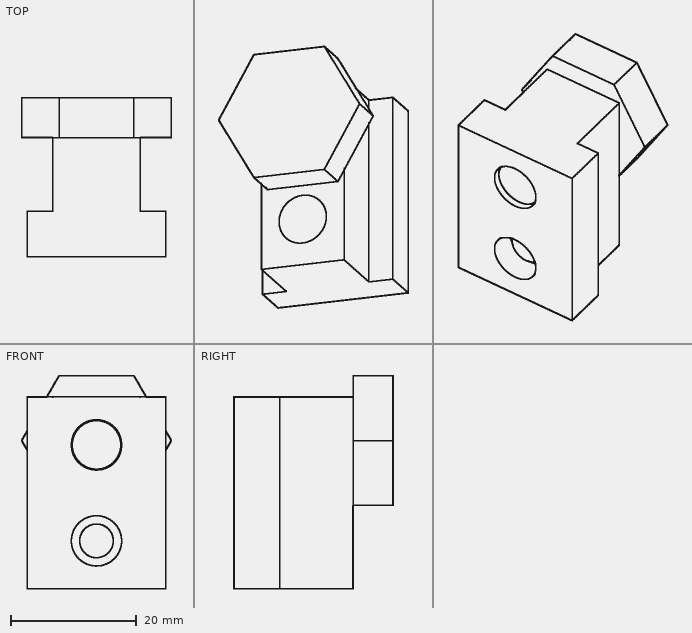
import cadquery as cq
import math

BLOCK_HEIGHT = 30.5
FLANGE_WIDTH = 22.02
FLANGE_DEPTH = 7.3
STEM_WIDTH = 13.95
BLOCK_DEPTH = 18.95

OVERALL_HEIGHT = 33.88
OVERALL_DEPTH = 25.3
HEX_CORNERS = 23.82
HEX_THICKNESS = OVERALL_DEPTH - BLOCK_DEPTH
HEX_FLATS = HEX_CORNERS * math.cos(math.pi / 6)
HEX_CENTRE_Z = OVERALL_HEIGHT - HEX_FLATS / 2

BORE_RADIUS = 4.0
LOWER_BORE_Z = BLOCK_HEIGHT / 4
UPPER_BORE_Z = BLOCK_HEIGHT - LOWER_BORE_Z

PIN_RECESS = 1.0
PIN_CHAMFER = 0.15

SCREW_RECESS = 3.0
CUP_RADIUS = 2.68
CUP_ANGLE = 120.0
CUP_DEPTH = CUP_RADIUS / math.tan(math.radians(CUP_ANGLE / 2))
POINT_LENGTH = BORE_RADIUS - CUP_RADIUS


def cylinder_along_y(radius, start_y, end_y, centre_z):
    """Solid cylinder parallel to Y, centred on X = 0."""
    return (
        cq.Workplane("XZ", origin=(0, start_y, centre_z))
        .circle(radius)
        .extrude(start_y - end_y)
    )


def make_block():
    """T-section block with two through bores."""
    flange = cq.Workplane("XY").box(
        FLANGE_WIDTH, FLANGE_DEPTH, BLOCK_HEIGHT, centered=(True, False, False)
    )
    stem = cq.Workplane("XY").box(
        STEM_WIDTH, BLOCK_DEPTH, BLOCK_HEIGHT, centered=(True, False, False)
    )
    block = flange.union(stem)
    for bore_z in (LOWER_BORE_Z, UPPER_BORE_Z):
        block = block.cut(cylinder_along_y(BORE_RADIUS, 0, BLOCK_DEPTH, bore_z))
    return block


def make_hex_plate():
    """Hexagonal plate with corners pointing along X and flats at top and bottom."""
    return (
        cq.Workplane("XZ", origin=(0, BLOCK_DEPTH, HEX_CENTRE_Z))
        .polygon(6, HEX_CORNERS)
        .extrude(-HEX_THICKNESS)
    )


def make_pin():
    """Pin recessed behind the front face, with a small chamfer on its front end."""
    pin = cylinder_along_y(BORE_RADIUS, PIN_RECESS, BLOCK_DEPTH, UPPER_BORE_Z)
    return pin.faces("<Y").chamfer(PIN_CHAMFER)


def make_set_screw():
    """Screw with a conical point and a conical cup, revolved about the bore axis."""
    return (
        cq.Workplane("XY", origin=(0, 0, LOWER_BORE_Z))
        .moveTo(0, SCREW_RECESS + CUP_DEPTH)
        .lineTo(CUP_RADIUS, SCREW_RECESS)
        .lineTo(BORE_RADIUS, SCREW_RECESS + POINT_LENGTH)
        .lineTo(BORE_RADIUS, BLOCK_DEPTH)
        .lineTo(0, BLOCK_DEPTH)
        .close()
        .revolve(360, (0, 0, 0), (0, 1, 0))
    )


block = make_block()
hex_plate = make_hex_plate()
pin = make_pin()
set_screw = make_set_screw()

result = cq.Compound.makeCompound(
    [block.val(), hex_plate.val(), pin.val(), set_screw.val()]
)